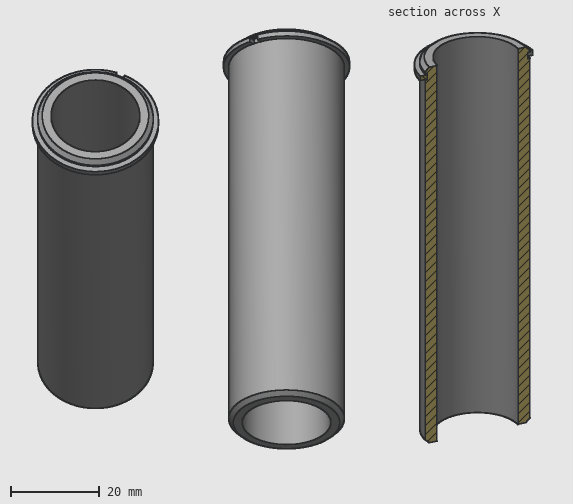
import cadquery as cq

tube_length = 95.0
tube_radius = 13.0
bore_radius = 10.0
end_chamfer = 1.0

groove_depth = 0.6
groove_width = 1.5
groove_top_offset = 1.5
groove_radius = tube_radius - groove_depth
groove_bottom_z = tube_length - groove_top_offset - groove_width

ring_outer_diameter = 28.4
ring_outer_radius = ring_outer_diameter / 2
ring_thickness = 1.2
ring_gap = 2.0


def annulus(outer_radius, inner_radius, bottom_z, height):
    """Flat-ended ring around the Z axis."""
    return (
        cq.Workplane("XY", origin=(0, 0, bottom_z))
        .circle(outer_radius)
        .circle(inner_radius)
        .extrude(height)
    )


def make_tube():
    """Tube with both outer rims chamfered and a groove for the retaining ring."""
    body = cq.Workplane("XY").circle(tube_radius).extrude(tube_length)
    body = body.faces("<Z or >Z").edges().chamfer(end_chamfer)
    body = body.cut(cq.Workplane("XY").circle(bore_radius).extrude(tube_length))
    groove = annulus(ring_outer_radius, groove_radius, groove_bottom_z, groove_width)
    return body.cut(groove)


def make_retaining_ring():
    """Ring seated in the groove, split by a parallel-sided gap on +Y."""
    ring = annulus(ring_outer_radius, groove_radius, groove_bottom_z, ring_thickness)
    gap = (
        cq.Workplane("XY", origin=(0, 0, groove_bottom_z))
        .rect(ring_gap, 2 * ring_outer_radius)
        .extrude(ring_thickness)
        .translate((0, ring_outer_radius, 0))
    )
    return ring.cut(gap)


tube = make_tube()
retaining_ring = make_retaining_ring()

result = cq.Compound.makeCompound([tube.val(), retaining_ring.val()])